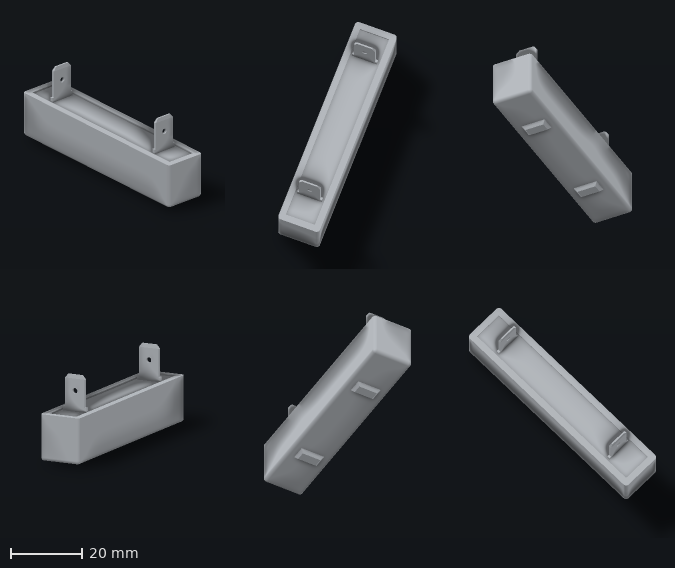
import cadquery as cq

LENGTH = 63
WIDTH = 12.5
HEIGHT = 13.5
EDGE_RADIUS = 1.0
RIM = 1.9
RECESS_DEPTH = 0.5

BLADE_SPACING = 44.0
BLADE_THICKNESS = 0.8
BLADE_WIDTH = 6.3
BLADE_RISE = 10.2
SHOULDER_WIDTH = 7.45
SHOULDER_RISE = 0.95
TIP_HEIGHT = 1.15
TIP_WIDTH = 4.55
TIP_THICKNESS = 0.45
HOLE_DIAMETER = 1.6
HOLE_RISE = 5.55

FOOT_SPACING = 32.0
FOOT_HEIGHT = 1.0
FOOT_BASE_X = 4.3
FOOT_BASE_Y = 7.3
FOOT_TAPER = 0.8


def housing():
    """Block with rounded corners and bottom edges, shallowly recessed on top."""
    block = cq.Workplane("XY").box(LENGTH, WIDTH, HEIGHT, centered=(True, True, False))
    block = block.edges("|Z or <Z").fillet(EDGE_RADIUS)
    recess = (
        cq.Workplane("XY", origin=(0, 0, HEIGHT - RECESS_DEPTH))
        .rect(LENGTH - 2 * RIM, WIDTH - 2 * RIM)
        .extrude(RECESS_DEPTH)
    )
    return block.cut(recess)


def blade(x):
    """Drilled terminal with a shouldered root and a tip bevelled on all four sides."""
    floor = HEIGHT - RECESS_DEPTH
    shoulder_top = HEIGHT + SHOULDER_RISE
    tip_base = HEIGHT + BLADE_RISE - TIP_HEIGHT
    shoulder = (
        cq.Workplane("XY", origin=(x, 0, floor))
        .rect(BLADE_THICKNESS, SHOULDER_WIDTH)
        .extrude(shoulder_top - floor)
    )
    shank = (
        cq.Workplane("XY", origin=(x, 0, shoulder_top))
        .rect(BLADE_THICKNESS, BLADE_WIDTH)
        .extrude(tip_base - shoulder_top)
    )
    tip = (
        cq.Workplane("XY", origin=(x, 0, tip_base))
        .rect(BLADE_THICKNESS, BLADE_WIDTH)
        .workplane(offset=TIP_HEIGHT)
        .rect(TIP_THICKNESS, TIP_WIDTH)
        .loft(ruled=True)
    )
    hole = (
        cq.Workplane("YZ", origin=(x, 0, HEIGHT + HOLE_RISE))
        .circle(HOLE_DIAMETER / 2)
        .extrude(BLADE_THICKNESS, both=True)
    )
    return shoulder.union(shank).union(tip).cut(hole)


def foot(x):
    """Rectangular pad narrowing downwards from the underside."""
    return (
        cq.Workplane("XY", origin=(x, 0, 0))
        .rect(FOOT_BASE_X, FOOT_BASE_Y)
        .workplane(offset=-FOOT_HEIGHT)
        .rect(FOOT_BASE_X - 2 * FOOT_TAPER, FOOT_BASE_Y - 2 * FOOT_TAPER)
        .loft(ruled=True)
    )


result = housing()
for side in (-1, 1):
    result = result.union(blade(side * BLADE_SPACING / 2))
    result = result.union(foot(side * FOOT_SPACING / 2))